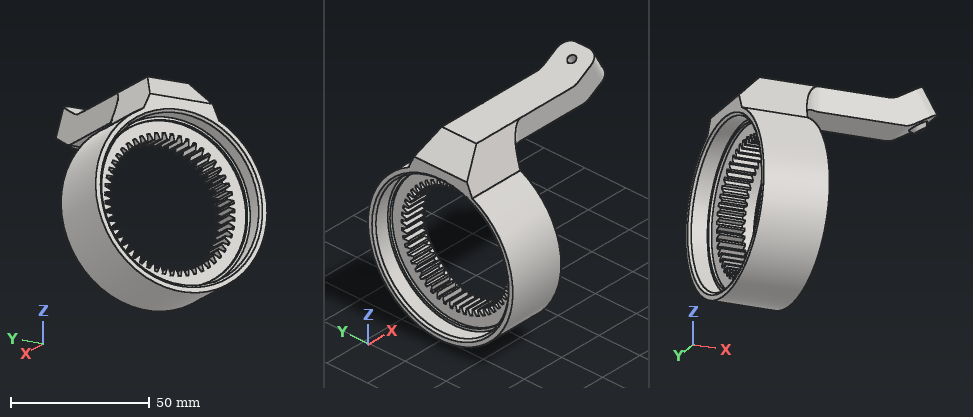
import cadquery as cq
import math

ring_radius = 35.4
ring_length = 25.9
mouth_radius = 33.4
counterbore_radius = 32.4
step_radius = 31.3
mouth_chamfer = mouth_radius - counterbore_radius
counterbore_depth = 7.3
gear_start = 8.5
gear_length = 10.0
gear_end = gear_start + gear_length
rear_bore_radius = mouth_radius

tooth_count = 51
gear_root_radius = 26.8
gear_tip_radius = 24.4
root_land = 1.0
tip_land = 0.8

arm_width = 17.0
arm_thickness = 10.0
arm_top = 47.55
arm_bottom = arm_top - arm_thickness
neck_base_half_width = 15.6
neck_base_height = math.sqrt(ring_radius**2 - neck_base_half_width**2)
side_fillet = 8.0
underside_fillet = 5.0

tilt = 30
bend_radius = 8.0
top_bend_x = 62.95
end_thickness = 11.6
part_length = 82.0
end_corner_radius = 5.5
hole_diameter = 3.6
hole_inset = 6.8

boss_base_radius = 3.7
boss_tip_radius = 2.5
boss_height = 2.0

sin_tilt = math.sin(math.radians(tilt))
cos_tilt = math.cos(math.radians(tilt))
end_top_x = part_length - end_thickness * sin_tilt
end_top_z = arm_top + (end_top_x - top_bend_x) * sin_tilt / cos_tilt
end_bottom_z = end_top_z - end_thickness * cos_tilt
bottom_bend_x = part_length - (end_bottom_z - arm_bottom) * cos_tilt / sin_tilt


def cylinder(radius, start, end):
    """Cylinder about the X axis between two X positions."""
    return cq.Workplane("YZ", origin=(start, 0, 0)).circle(radius).extrude(end - start)


def make_mouth_cone():
    """Conical lead-in at the open mouth."""
    return (
        cq.Workplane("YZ")
        .circle(mouth_radius)
        .workplane(offset=mouth_chamfer)
        .circle(counterbore_radius)
        .loft()
    )


def make_side_profile():
    """Side outline of the chamfered neck and bent arm, extruded along Y across the full ring width."""
    profile = (
        cq.Workplane("XZ")
        .moveTo(0, 0)
        .lineTo(0, arm_bottom)
        .lineTo(arm_thickness, arm_top)
        .lineTo(top_bend_x, arm_top)
        .lineTo(end_top_x, end_top_z)
        .lineTo(part_length, end_bottom_z)
        .lineTo(bottom_bend_x, arm_bottom)
        .lineTo(ring_length, arm_bottom)
        .lineTo(ring_length, 0)
        .close()
        .extrude(ring_radius, both=True)
    )
    for x, z, radius in (
        (top_bend_x, arm_top, bend_radius),
        (bottom_bend_x, arm_bottom, bend_radius),
        (ring_length, arm_bottom, underside_fillet),
    ):
        corner = cq.selectors.NearestToPointSelector((x, 0, z))
        profile = profile.edges("|Y").edges(corner).fillet(radius)
    return profile


def make_cross_section():
    """Neck flaring down from the arm width to the ring, extruded along X."""
    half_width = arm_width / 2
    section_top = 2 * arm_top
    return (
        cq.Workplane("YZ")
        .moveTo(-neck_base_half_width, 0)
        .lineTo(-neck_base_half_width, neck_base_height)
        .lineTo(-half_width, arm_top)
        .lineTo(-half_width, section_top)
        .lineTo(half_width, section_top)
        .lineTo(half_width, arm_top)
        .lineTo(neck_base_half_width, neck_base_height)
        .lineTo(neck_base_half_width, 0)
        .close()
        .extrude(part_length)
    )


def make_plan():
    """Plan outline of the arm, extruded along Z, with a round into the ring on each side."""
    height = 4 * arm_top
    start_at_mouth = (False, True, True)
    strip = cq.Workplane("XY").box(part_length, arm_width, height, centered=start_at_mouth)
    head = cq.Workplane("XY").box(ring_length, 2 * ring_radius, height, centered=start_at_mouth)
    outline = head.union(strip)
    for side in (-1, 1):
        corner = cq.selectors.NearestToPointSelector((ring_length, side * arm_width / 2, 0))
        outline = outline.edges("|Z").edges(corner).fillet(side_fillet)
    return outline


def round_end_corners(arm):
    """Round the two corners of the tilted end face."""
    middle_x = (end_top_x + part_length) / 2
    middle_z = (end_top_z + end_bottom_z) / 2
    for side in (-1, 1):
        corner = cq.selectors.NearestToPointSelector((middle_x, side * arm_width / 2, middle_z))
        arm = arm.edges(corner).fillet(end_corner_radius)
    return arm


def make_gear_cutter():
    """Toothed bore: straight-flanked tooth spaces, one of them centred on +Y."""
    pitch_angle = 2 * math.pi / tooth_count
    root_half_angle = root_land / 2 / gear_root_radius
    tip_half_angle = tip_land / 2 / gear_tip_radius
    points = []
    for index in range(tooth_count):
        space = index * pitch_angle
        for radius, angle in (
            (gear_tip_radius, space - pitch_angle / 2 + tip_half_angle),
            (gear_root_radius, space - root_half_angle),
            (gear_root_radius, space + root_half_angle),
            (gear_tip_radius, space + pitch_angle / 2 - tip_half_angle),
        ):
            points.append((radius * math.cos(angle), radius * math.sin(angle)))
    return cq.Workplane("YZ").polyline(points).close().extrude(ring_length)


arm = make_side_profile().intersect(make_cross_section()).intersect(make_plan())
body = cylinder(ring_radius, 0, ring_length).union(round_end_corners(arm))

hole_top = (end_top_x - hole_inset * cos_tilt, 0, end_top_z - hole_inset * sin_tilt)
hole_plane = cq.Plane(origin=hole_top, xDir=(0, 1, 0), normal=(sin_tilt, 0, -cos_tilt))
boss = (
    cq.Workplane(hole_plane)
    .workplane(offset=end_thickness)
    .circle(boss_base_radius)
    .workplane(offset=boss_height)
    .circle(boss_tip_radius)
    .loft()
)
hole = cq.Workplane(hole_plane).circle(hole_diameter / 2).extrude(end_thickness + boss_height)
body = body.union(boss).cut(hole)

body = body.cut(make_mouth_cone())
body = body.cut(cylinder(counterbore_radius, 0, counterbore_depth))
body = body.cut(cylinder(step_radius, 0, gear_start))
body = body.cut(make_gear_cutter())
result = body.cut(cylinder(rear_bore_radius, gear_end, ring_length))